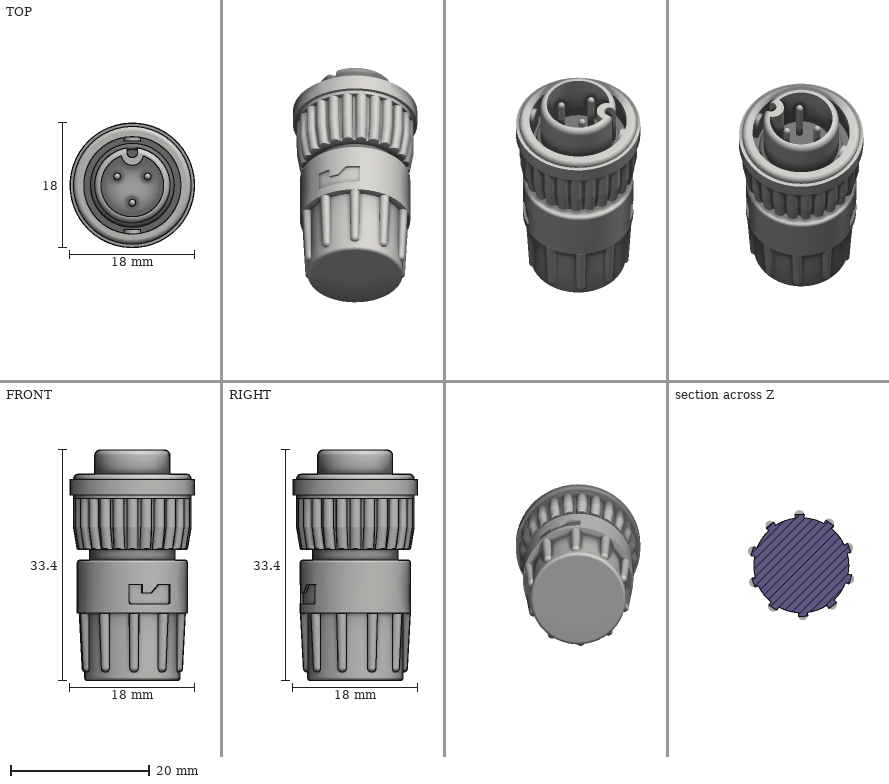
import cadquery as cq
import math

TOTAL_HEIGHT = 33.4
COLLAR_BOTTOM = 9.77
COLLAR_TOP = 17.46
KNURL_BOTTOM = 19.02
KNURL_BEND = 22.3
KNURL_TOP = 26.35
BAND_BOTTOM = 26.88
BAND_TOP = 29.1
RING_TOP = 29.9

BODY_RADIUS = 6.91
BODY_EDGE_FILLET = 0.45
COLLAR_RADIUS = 7.99
COLLAR_EDGE_FILLET = 0.4
NECK_RADIUS = 6.2

CLOCK_ANGLE = 20.0
GRIP_RIB_COUNT = 10
GRIP_RIB_BOTTOM = 1.75
GRIP_RIB_TOP_CENTRE = 7.25
GRIP_RIB_BOTTOM_CENTRE = 6.92
GRIP_RIB_TOP_RADIUS = 0.72
GRIP_RIB_BOTTOM_RADIUS = 0.62
GRIP_RIB_DOME_HEIGHT = 0.5

WINDOW_HALF_WIDTH = 3.16
WINDOW_BOTTOM = 11.1
WINDOW_TOP = 13.9
WINDOW_STEP = 12.72
TONGUE_LEFT = -1.28
TONGUE_RIGHT = 0.06
TONGUE_SLOPE_END = 1.17
WINDOW_CORNER_FILLET = 0.4
WINDOW_FLOOR_RADIUS = 7.6

RING_RADIUS = 8.52
RING_EDGE_FILLET = 0.7
BAND_RADIUS = 9.02
RING_BORE_RADIUS = 7.04
RING_BORE_FLOOR = 25.95
KNURL_COUNT = 24
KNURL_RIB_RADIUS = 0.8
KNURL_ROOT_RADIUS = 7.75
KNURL_TAPER_INSET = 0.55
KNURL_END_CHAMFER = 0.1
KNURL_OVERRUN = 1.1

PLUG_RADIUS = 5.46
PLUG_BORE_RADIUS = 4.55
PLUG_RIM_FILLET = 0.83
PLUG_FLOOR = RING_BORE_FLOOR
SHOULDER_RADIUS = 6.08
SHOULDER_BORE_RADIUS = 5.17
SHOULDER_HEIGHT = 0.65
SHOULDER_OUTER_FILLET = 0.6
SHOULDER_INNER_FILLET = 0.3
KEY_CENTRE_Y = 4.5
KEY_RADIUS = 1.6
KEYWAY_CENTRE_Y = 4.8
KEYWAY_HALF_WIDTH = 0.78
KEYWAY_FLOOR = RING_BORE_FLOOR
PIN_CIRCLE_RADIUS = 2.54
PIN_RADIUS = 0.5
PIN_TOP = 32.75
PIN_ANGLES = (30, 150, 270)

LUG_HALF_WIDTH = 1.2
LUG_INNER_Y = 6.4
LUG_ROOT_Y = 7.3
LUG_TOP = 29.7


def disc(radius, bottom, top):
    return cq.Workplane("XY").workplane(offset=bottom).circle(radius).extrude(top - bottom)


def spin(shape, angle):
    return shape.rotate((0, 0, 0), (0, 0, 1), angle)


def lower_body():
    body = disc(BODY_RADIUS, 0, COLLAR_BOTTOM).faces("<Z").edges().fillet(BODY_EDGE_FILLET)
    collar = disc(COLLAR_RADIUS, COLLAR_BOTTOM, COLLAR_TOP)
    collar = collar.faces(">Z").edges().fillet(COLLAR_EDGE_FILLET)
    neck = disc(NECK_RADIUS, COLLAR_TOP, KNURL_BOTTOM)
    return body.union(collar).union(neck)


def grip_rib():
    """Tapered round rib on the +X side, leaning outward towards the collar, with a domed lower end."""
    height = COLLAR_BOTTOM - GRIP_RIB_BOTTOM
    lean = math.degrees(math.atan2(GRIP_RIB_TOP_CENTRE - GRIP_RIB_BOTTOM_CENTRE, height))
    diagonal = math.sqrt(0.5)
    dome_mid = (GRIP_RIB_BOTTOM_RADIUS * diagonal, -GRIP_RIB_DOME_HEIGHT * diagonal)
    rib = (
        cq.Workplane("XZ")
        .moveTo(0, -GRIP_RIB_DOME_HEIGHT)
        .threePointArc(dome_mid, (GRIP_RIB_BOTTOM_RADIUS, 0))
        .lineTo(GRIP_RIB_TOP_RADIUS, height)
        .lineTo(0, height)
        .close()
        .revolve(360, (0, 0), (0, 1))
    )
    rib = rib.rotate((0, 0, 0), (0, 1, 0), lean)
    return rib.translate((GRIP_RIB_BOTTOM_CENTRE, 0, GRIP_RIB_BOTTOM))


def bayonet_window():
    """Shallow stepped window on the -Y side of the collar."""
    window = (
        cq.Workplane("XZ")
        .moveTo(-WINDOW_HALF_WIDTH, WINDOW_BOTTOM)
        .lineTo(WINDOW_HALF_WIDTH, WINDOW_BOTTOM)
        .lineTo(WINDOW_HALF_WIDTH, WINDOW_TOP)
        .lineTo(TONGUE_SLOPE_END, WINDOW_TOP)
        .lineTo(TONGUE_RIGHT, WINDOW_STEP)
        .lineTo(TONGUE_LEFT, WINDOW_STEP)
        .lineTo(TONGUE_LEFT, WINDOW_TOP)
        .lineTo(-WINDOW_HALF_WIDTH, WINDOW_TOP)
        .close()
        .extrude(COLLAR_RADIUS)
    )
    window = window.edges("|Y and <Z").fillet(WINDOW_CORNER_FILLET)
    return window.cut(disc(WINDOW_FLOOR_RADIUS, COLLAR_BOTTOM, COLLAR_TOP))


def knurl_rib():
    """Round rib on the +X side: upright above the bend, leaning inward below it."""
    centre = RING_RADIUS - KNURL_RIB_RADIUS
    lean = KNURL_OVERRUN * KNURL_TAPER_INSET
    drop = KNURL_OVERRUN * (KNURL_BEND - KNURL_BOTTOM)
    path = (
        cq.Workplane("XZ")
        .moveTo(centre, KNURL_TOP)
        .lineTo(centre, KNURL_BEND)
        .lineTo(centre - lean, KNURL_BEND - drop)
    )
    section = cq.Workplane("XY").workplane(offset=KNURL_TOP).center(centre, 0)
    return section.circle(KNURL_RIB_RADIUS).sweep(path, transition="right")


def knurl():
    inset = KNURL_TAPER_INSET
    root = (
        cq.Workplane("XZ")
        .moveTo(0, KNURL_BOTTOM)
        .lineTo(KNURL_ROOT_RADIUS - inset, KNURL_BOTTOM)
        .lineTo(KNURL_ROOT_RADIUS, KNURL_BEND)
        .lineTo(KNURL_ROOT_RADIUS, KNURL_TOP)
        .lineTo(0, KNURL_TOP)
        .close()
        .revolve(360, (0, 0), (0, 1))
    )
    rib = knurl_rib()
    for index in range(KNURL_COUNT):
        root = root.union(spin(rib, index * 360 / KNURL_COUNT))
    reach = RING_RADIUS - inset - KNURL_END_CHAMFER
    rise = RING_RADIUS - reach
    envelope = (
        cq.Workplane("XZ")
        .moveTo(0, KNURL_BOTTOM)
        .lineTo(reach, KNURL_BOTTOM)
        .lineTo(RING_RADIUS, KNURL_BOTTOM + rise)
        .lineTo(RING_RADIUS, KNURL_TOP)
        .lineTo(0, KNURL_TOP)
        .close()
        .revolve(360, (0, 0), (0, 1))
    )
    return root.intersect(envelope)


def coupling_ring():
    ring = disc(RING_RADIUS, KNURL_TOP, RING_TOP).faces(">Z").edges().fillet(RING_EDGE_FILLET)
    ring = ring.union(disc(BAND_RADIUS, BAND_BOTTOM, BAND_TOP)).union(knurl())
    return ring.cut(disc(RING_BORE_RADIUS, RING_BORE_FLOOR, RING_TOP))


def lug():
    """Round-topped key on the +Y side of the coupling ring's bore."""
    profile = (
        cq.Workplane("XZ", origin=(0, LUG_INNER_Y, 0))
        .moveTo(-LUG_HALF_WIDTH, RING_BORE_FLOOR)
        .lineTo(LUG_HALF_WIDTH, RING_BORE_FLOOR)
        .lineTo(LUG_HALF_WIDTH, LUG_TOP - LUG_HALF_WIDTH)
        .threePointArc((0, LUG_TOP), (-LUG_HALF_WIDTH, LUG_TOP - LUG_HALF_WIDTH))
        .close()
    )
    return profile.extrude(LUG_INNER_Y - LUG_ROOT_Y)


def plug():
    shell = disc(PLUG_RADIUS, RING_BORE_FLOOR, TOTAL_HEIGHT)
    shell = shell.faces(">Z").edges().fillet(PLUG_RIM_FILLET)
    shell = shell.cut(disc(PLUG_BORE_RADIUS, PLUG_FLOOR, TOTAL_HEIGHT))
    key = disc(KEY_RADIUS, PLUG_FLOOR, TOTAL_HEIGHT).translate((0, KEY_CENTRE_Y, 0))
    key = key.intersect(disc(PLUG_BORE_RADIUS, PLUG_FLOOR, TOTAL_HEIGHT))
    return shell.union(key).cut(keyway()).union(shoulder())


def shoulder():
    """Round-topped collar at the foot of the plug, crossing the keyway."""
    top = RING_BORE_FLOOR + SHOULDER_HEIGHT
    ring = disc(SHOULDER_RADIUS, RING_BORE_FLOOR, top).faces(">Z").edges().fillet(SHOULDER_OUTER_FILLET)
    ring = ring.cut(disc(SHOULDER_BORE_RADIUS, RING_BORE_FLOOR, top))
    inner_edge = cq.selectors.RadiusNthSelector(0)
    return ring.faces(">Z").edges(inner_edge).fillet(SHOULDER_INNER_FILLET)


def keyway():
    """U-shaped slot down the key, open through the plug wall on the +Y side."""
    height = TOTAL_HEIGHT - KEYWAY_FLOOR
    rounded = disc(KEYWAY_HALF_WIDTH, KEYWAY_FLOOR, TOTAL_HEIGHT).translate((0, KEYWAY_CENTRE_Y, 0))
    straight = cq.Workplane("XY").box(
        2 * KEYWAY_HALF_WIDTH, SHOULDER_RADIUS - KEYWAY_CENTRE_Y, height, centered=(True, False, False)
    )
    return rounded.union(straight.translate((0, KEYWAY_CENTRE_Y, KEYWAY_FLOOR)))


def pin(angle):
    height = PIN_TOP - PIN_RADIUS
    shaft = disc(PIN_RADIUS, PLUG_FLOOR, height)
    dome = cq.Workplane("XY").sphere(PIN_RADIUS).translate((0, 0, height))
    return spin(shaft.union(dome).translate((PIN_CIRCLE_RADIUS, 0, 0)), angle)


result = lower_body().union(coupling_ring()).union(plug())
for index in range(GRIP_RIB_COUNT):
    angle = -90 + CLOCK_ANGLE + (index + 0.5) * 360 / GRIP_RIB_COUNT
    result = result.union(spin(grip_rib(), angle))
for half_turn in (0, 180):
    result = result.cut(spin(bayonet_window(), CLOCK_ANGLE + half_turn))
    result = result.union(spin(lug(), half_turn))
for angle in PIN_ANGLES:
    result = result.union(pin(angle))